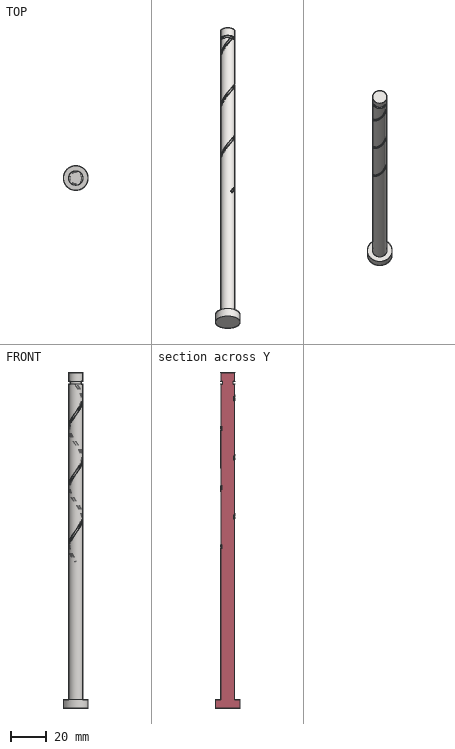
import cadquery as cq
import math

total_length = 189
head_diameter = 14.0
head_height = 5.0
shaft_diameter = 8.1

tip_height = 5.0
neck_height = 1.5
neck_diameter = 6.5
neck_top = total_length - tip_height
neck_bottom = neck_top - neck_height

groove_width = 1.1
groove_depth = 0.8
groove_clearance = 0.5
groove_pitch = 33.3
groove_turns = 3
groove_start_angle = 90
groove_length = groove_pitch * groove_turns
groove_start = neck_bottom - groove_length


def cylinder(diameter, bottom, top):
    return cq.Workplane("XY").workplane(offset=bottom).circle(diameter / 2).extrude(top - bottom)


def pin_body():
    head = cylinder(head_diameter, 0, head_height)
    shaft = cylinder(shaft_diameter, head_height, neck_bottom)
    neck = cylinder(neck_diameter, neck_bottom, neck_top)
    tip = cylinder(shaft_diameter, neck_top, total_length)
    return head.union(shaft).union(neck).union(tip)


def spiral_cutter():
    """Rectangular section swept along a helix, square to its path."""
    radius = shaft_diameter / 2
    helix = cq.Wire.makeHelix(groove_pitch, groove_length, radius)
    tangent = (0, math.tau * radius, groove_pitch)
    section_plane = cq.Plane(origin=(radius, 0, 0), xDir=(1, 0, 0), normal=tangent)
    section_center = (groove_clearance - groove_depth) / 2
    cutter = (
        cq.Workplane(section_plane)
        .center(section_center, 0)
        .rect(groove_depth + groove_clearance, groove_width)
        .sweep(cq.Workplane(obj=helix), isFrenet=True)
    )
    return cutter.rotate((0, 0, 0), (0, 0, 1), groove_start_angle).translate((0, 0, groove_start))


result = pin_body().cut(spiral_cutter())